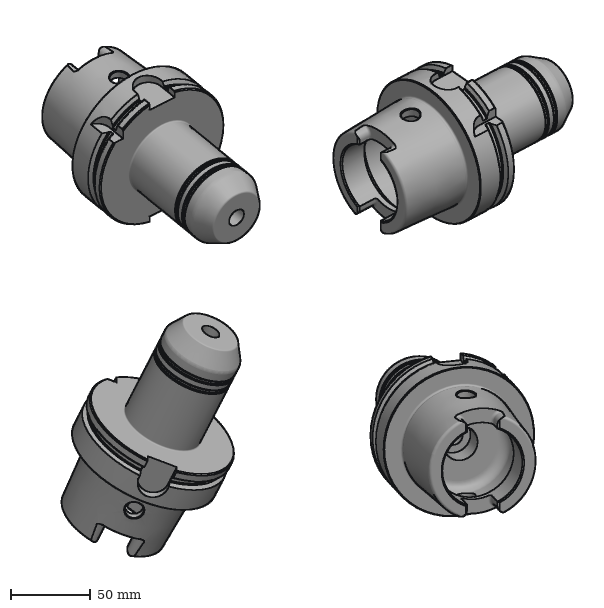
import cadquery as cq
import math


SHANK_LENGTH = 50.0
SHANK_GAUGE_DIAMETER = 76.0
SHANK_TAPER = 0.1
SHANK_END_FILLET = 2.0
TAPER_END_X = -2.3
RELIEF_DIAMETER = 75.42
RELIEF_START_X = -1.5
RELIEF_FILLET = 1.25

FLANGE_DIAMETER = 100.0
FLANGE_WIDTH = 29.0
FLANGE_REAR_CHAMFER = 0.5
FLANGE_FRONT_CHAMFER = 0.8
V_GROOVE_CENTRE_X = 20.0
V_GROOVE_DIAMETER = 92.0
V_GROOVE_TOP_WIDTH = 6.8
V_GROOVE_BOTTOM_WIDTH = 3.5
V_GROOVE_BOTTOM_FILLET = 0.4
V_GROOVE_FLANK_ANGLE = 30.0

NOSE_END_X = 105.0
NOSE_DIAMETER = 52.5
NOSE_CONE_START_X = 92.4
NOSE_CONE_ANGLE = 30.0
NOSE_CONE_BLEND = 4.5
NOSE_END_FILLET = 1.5
NOSE_BASE_FILLET = 1.0
RING_GROOVE_DIAMETER = 51.5
RING_GROOVE_BOTTOM_WIDTH = 1.5
RING_GROOVE_TOP_WIDTH = 3.2
RING_GROOVE_COUNT = 2
RING_GROOVE_FIRST_X = 76.9
RING_GROOVE_PITCH = 7.0

MOUTH_DIAMETER = 53.0
MOUTH_CHAMFER = 0.9
MOUTH_BORE_END_X = -30.8
CHAMBER_DIAMETER = 63.0
CHAMBER_CONE_LENGTH = 4.6
CHAMBER_FLOOR_X = -3.5
CHAMBER_FLOOR_FILLET = 6.5
COOLANT_BORE_DIAMETER = 22.38
COOLANT_BORE_DEPTH = 15.0
AXIAL_HOLE_DIAMETER = 12.0

CROSS_HOLE_DIAMETER = 12.0
CROSS_HOLE_X = -15.0
CROSS_HOLE_CHAMFER = 0.5

DRIVE_SLOT_WIDTH = 20.0
DRIVE_SLOT_TOP_DEPTH = 10.0
DRIVE_SLOT_BOTTOM_DEPTH = 15.0
DRIVE_SLOT_FLARE_RADIUS = 5.0
DRIVE_SLOT_FLARE_START_Z = 27.25
DRIVE_SLOT_FLOOR_FILLET = 1.75
DRIVE_SLOT_CHAMFER_WIDTH = 1.4
DRIVE_SLOT_CHAMFER_DEPTH = 1.0

KEYWAY_WIDTH = 20.0
KEYWAY_START_X = 5.0
KEYWAY_FLOOR_Z = 44.0
NOTCH_WALL_Y = -31.5
NOTCH_FLOOR_Z = 31.5

SHANK_END_X = -SHANK_LENGTH
CLEARANCE = 10.0


def shank_radius(x):
    """Radius of the shank taper at position x."""
    return (SHANK_GAUGE_DIAMETER + SHANK_TAPER * x) / 2


def revolve_about_axis(outline):
    """Solid of revolution about the X axis of a closed outline in the XY plane."""
    return outline.close().revolve(360, (0, 0, 0), (1, 0, 0))


def cylinder_along_x(diameter, start_x, end_x):
    circle = cq.Workplane("YZ", origin=(start_x, 0, 0)).circle(diameter / 2)
    return circle.extrude(end_x - start_x)


def make_shank():
    relief_radius = RELIEF_DIAMETER / 2
    blend = RELIEF_FILLET
    blend_mid = blend * math.sqrt(0.5)
    cone = (
        cq.Workplane("XY")
        .moveTo(SHANK_END_X, 0)
        .lineTo(SHANK_END_X, shank_radius(SHANK_END_X))
        .lineTo(TAPER_END_X, shank_radius(TAPER_END_X))
        .lineTo(RELIEF_START_X, relief_radius)
        .lineTo(-blend, relief_radius)
        .threePointArc((blend_mid - blend, relief_radius + blend - blend_mid), (0, relief_radius + blend))
        .lineTo(FLANGE_WIDTH / 2, relief_radius + blend)
        .lineTo(FLANGE_WIDTH / 2, 0)
    )
    return revolve_about_axis(cone).faces("<X").edges().fillet(SHANK_END_FILLET)


def make_flange():
    flange = cylinder_along_x(FLANGE_DIAMETER, 0, FLANGE_WIDTH)
    flange = flange.faces("<X").edges().chamfer(FLANGE_REAR_CHAMFER)
    flange = flange.faces(">X").edges().chamfer(FLANGE_FRONT_CHAMFER)
    return flange.cut(make_v_groove())


def make_v_groove():
    """Ring cutter whose walls stand straight at the bottom and then flare out to the flange rim."""
    rim_radius = FLANGE_DIAMETER / 2
    bottom_radius = V_GROOVE_DIAMETER / 2
    half_bottom = V_GROOVE_BOTTOM_WIDTH / 2
    half_top = V_GROOVE_TOP_WIDTH / 2
    flank_angle = math.radians(V_GROOVE_FLANK_ANGLE)
    flank_foot = rim_radius - (half_top - half_bottom) / math.tan(flank_angle)
    outline = (
        cq.Workplane("XY")
        .moveTo(V_GROOVE_CENTRE_X - half_bottom, bottom_radius)
        .lineTo(V_GROOVE_CENTRE_X + half_bottom, bottom_radius)
        .lineTo(V_GROOVE_CENTRE_X + half_bottom, flank_foot)
        .lineTo(V_GROOVE_CENTRE_X + half_top, rim_radius)
        .lineTo(V_GROOVE_CENTRE_X - half_top, rim_radius)
        .lineTo(V_GROOVE_CENTRE_X - half_bottom, flank_foot)
    )
    bottom_edges = cq.selectors.RadiusNthSelector(0)
    return revolve_about_axis(outline).edges(bottom_edges).fillet(V_GROOVE_BOTTOM_FILLET)


def make_ring_groove(centre_x):
    """Ring cutter for a shallow groove with sloping walls around the nose."""
    top_radius = NOSE_DIAMETER / 2
    bottom_radius = RING_GROOVE_DIAMETER / 2
    half_bottom = RING_GROOVE_BOTTOM_WIDTH / 2
    half_top = RING_GROOVE_TOP_WIDTH / 2
    outline = (
        cq.Workplane("XY")
        .moveTo(centre_x - half_bottom, bottom_radius)
        .lineTo(centre_x + half_bottom, bottom_radius)
        .lineTo(centre_x + half_top, top_radius)
        .lineTo(centre_x - half_top, top_radius)
    )
    return revolve_about_axis(outline)


def make_nose():
    nose_radius = NOSE_DIAMETER / 2
    base = NOSE_BASE_FILLET
    base_mid = base * math.sqrt(0.5)
    cone_drop = (NOSE_END_X - NOSE_CONE_START_X) * math.tan(math.radians(NOSE_CONE_ANGLE))
    outline = (
        cq.Workplane("XY")
        .moveTo(FLANGE_WIDTH / 2, 0)
        .lineTo(FLANGE_WIDTH / 2, nose_radius + base)
        .lineTo(FLANGE_WIDTH, nose_radius + base)
        .threePointArc(
            (FLANGE_WIDTH + base - base_mid, nose_radius + base - base_mid),
            (FLANGE_WIDTH + base, nose_radius),
        )
        .lineTo(NOSE_CONE_START_X, nose_radius)
        .lineTo(NOSE_END_X, nose_radius - cone_drop)
        .lineTo(NOSE_END_X, 0)
    )
    nose = revolve_about_axis(outline)
    nose = nose.faces(">X").edges().fillet(NOSE_END_FILLET)
    cone_edge = cq.selectors.NearestToPointSelector((NOSE_CONE_START_X, 0, 0))
    nose = nose.edges(cone_edge).fillet(NOSE_CONE_BLEND)
    for index in range(RING_GROOVE_COUNT):
        nose = nose.cut(make_ring_groove(RING_GROOVE_FIRST_X + index * RING_GROOVE_PITCH))
    return nose


def make_cavity():
    mouth_radius = MOUTH_DIAMETER / 2
    chamber_radius = CHAMBER_DIAMETER / 2
    fillet = CHAMBER_FLOOR_FILLET
    fillet_mid = fillet * math.sqrt(0.5)
    fillet_x = CHAMBER_FLOOR_X - fillet
    fillet_radius = chamber_radius - fillet
    outline = (
        cq.Workplane("XY")
        .moveTo(SHANK_END_X, 0)
        .lineTo(SHANK_END_X, mouth_radius + MOUTH_CHAMFER)
        .lineTo(SHANK_END_X + MOUTH_CHAMFER, mouth_radius)
        .lineTo(MOUTH_BORE_END_X, mouth_radius)
        .lineTo(MOUTH_BORE_END_X + CHAMBER_CONE_LENGTH, chamber_radius)
        .lineTo(fillet_x, chamber_radius)
        .threePointArc(
            (fillet_x + fillet_mid, fillet_radius + fillet_mid),
            (CHAMBER_FLOOR_X, fillet_radius),
        )
        .lineTo(CHAMBER_FLOOR_X, 0)
    )
    cavity = revolve_about_axis(outline)
    coolant_end_x = CHAMBER_FLOOR_X + COOLANT_BORE_DEPTH
    cavity = cavity.union(cylinder_along_x(COOLANT_BORE_DIAMETER, SHANK_END_X, coolant_end_x))
    return cavity.union(cylinder_along_x(AXIAL_HOLE_DIAMETER, SHANK_END_X, NOSE_END_X))


def drill_cross_hole(shank):
    """Drill straight through the shank along Z and break both outer edges."""
    drilled = shank.cut(
        cq.Workplane("XY", origin=(CROSS_HOLE_X, 0, 0))
        .circle(CROSS_HOLE_DIAMETER / 2)
        .extrude(SHANK_GAUGE_DIAMETER, both=True)
    )
    mouth_z = shank_radius(CROSS_HOLE_X)
    for side_z in (-mouth_z, mouth_z):
        mouth_edge = cq.selectors.NearestToPointSelector((CROSS_HOLE_X, 0, side_z))
        drilled = drilled.edges(mouth_edge).chamfer(CROSS_HOLE_CHAMFER)
    return drilled


def make_drive_slot(depth):
    """Slot open towards +Z, its walls flaring outwards in an arc near the outside of the shank."""
    half_width = DRIVE_SLOT_WIDTH / 2
    radius = DRIVE_SLOT_FLARE_RADIUS
    flare_z = DRIVE_SLOT_FLARE_START_Z
    arc_mid_y = half_width + radius * (1 - math.sqrt(0.5))
    arc_mid_z = flare_z + radius * math.sqrt(0.5)
    half_mouth = half_width + 2 * radius
    top_z = SHANK_GAUGE_DIAMETER / 2 + CLEARANCE
    slot = (
        cq.Workplane("YZ", origin=(SHANK_END_X - CLEARANCE, 0, 0))
        .moveTo(-half_width, 0)
        .lineTo(half_width, 0)
        .lineTo(half_width, flare_z)
        .threePointArc((arc_mid_y, arc_mid_z), (half_width + radius, flare_z + radius))
        .lineTo(half_mouth, flare_z + radius)
        .lineTo(half_mouth, top_z)
        .lineTo(-half_mouth, top_z)
        .lineTo(-half_mouth, flare_z + radius)
        .lineTo(-half_width - radius, flare_z + radius)
        .threePointArc((-arc_mid_y, arc_mid_z), (-half_width, flare_z))
        .close()
        .extrude(depth + CLEARANCE)
        .faces(">X")
        .edges()
        .fillet(DRIVE_SLOT_FLOOR_FILLET)
    )
    mouth_half_width = half_width + DRIVE_SLOT_CHAMFER_WIDTH
    chamfer = (
        cq.Workplane("XY")
        .moveTo(SHANK_END_X, -mouth_half_width)
        .lineTo(SHANK_END_X, mouth_half_width)
        .lineTo(SHANK_END_X + DRIVE_SLOT_CHAMFER_DEPTH, half_width)
        .lineTo(SHANK_END_X + DRIVE_SLOT_CHAMFER_DEPTH, -half_width)
        .close()
        .extrude(top_z)
    )
    return slot.union(chamfer)


def make_flange_slot(centre_y, floor_z):
    """Round-ended slot running out of the front of the flange, open towards +Z."""
    radius = KEYWAY_WIDTH / 2
    round_x = KEYWAY_START_X + radius
    end_x = FLANGE_WIDTH
    outline = (
        cq.Workplane("XY", origin=(0, 0, floor_z))
        .moveTo(end_x, centre_y - radius)
        .lineTo(round_x, centre_y - radius)
        .threePointArc((KEYWAY_START_X, centre_y), (round_x, centre_y + radius))
        .lineTo(end_x, centre_y + radius)
    )
    return outline.close().extrude(FLANGE_DIAMETER / 2)


shank = drill_cross_hole(make_shank())
body = shank.union(make_flange()).union(make_nose())
body = body.cut(make_cavity())
body = body.cut(make_drive_slot(DRIVE_SLOT_TOP_DEPTH))
body = body.cut(make_drive_slot(DRIVE_SLOT_BOTTOM_DEPTH).mirror("XY"))

keyway = make_flange_slot(0, KEYWAY_FLOOR_Z)
body = body.cut(keyway).cut(keyway.mirror("XY"))
body = body.cut(make_flange_slot(NOTCH_WALL_Y - KEYWAY_WIDTH / 2, NOTCH_FLOOR_Z))

result = body